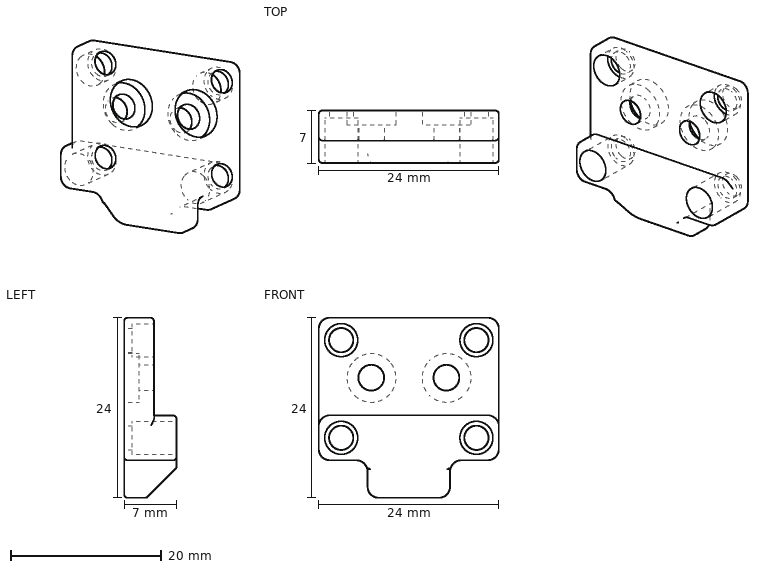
import cadquery as cq

width = 24.0
height = 24.0
plate_thickness = 4.0
block_thickness = 7.0

body_bottom = 5.0
step_top = 11.0
tab_width = 11.0
bevel = 4.0

corner_radius = 1.5
edge_radius = 0.5

corner_hole_diameter = 3.2
counterbore_diameter = 4.4
corner_hole_inset = 3.0
counterbore_floor = 1.0

middle_hole_diameter = 3.4
middle_hole_spacing = 10.0
middle_hole_height = 16.0
back_recess_diameter = 6.5
back_recess_depth = 1.93


def front_workplane():
    """XZ plane whose extrusions grow toward the front (-Y)."""
    return cq.Workplane("XZ")


def make_plate():
    """Thin upright plate, rounded on every edge."""
    plate_height = height - body_bottom
    plate = (
        front_workplane()
        .center(0, body_bottom + plate_height / 2)
        .rect(width, plate_height)
        .extrude(plate_thickness)
    )
    plate = plate.edges("|Y").fillet(corner_radius)
    return plate.faces("<Y or >Y").edges().fillet(edge_radius)


def make_block():
    """Thick lower block with a narrow bevelled tab hanging below it."""
    half_width = width / 2
    half_tab = tab_width / 2
    block = (
        front_workplane()
        .moveTo(-half_width, step_top)
        .lineTo(half_width, step_top)
        .lineTo(half_width, body_bottom)
        .lineTo(half_tab, body_bottom)
        .lineTo(half_tab, 0)
        .lineTo(-half_tab, 0)
        .lineTo(-half_tab, body_bottom)
        .lineTo(-half_width, body_bottom)
        .close()
        .extrude(block_thickness)
    )
    block = block.edges("|Y").fillet(corner_radius)
    bevel_wedge = (
        cq.Workplane("YZ")
        .moveTo(-block_thickness, bevel)
        .lineTo(-block_thickness, 0)
        .lineTo(bevel - block_thickness, 0)
        .close()
        .extrude(tab_width, both=True)
    )
    block = block.cut(bevel_wedge)
    rims = block.faces("<Y or >Y").edges()
    bevel_direction = cq.Vector(0, -1, -1)
    bevel_face = block.faces(cq.selectors.DirectionMinMaxSelector(bevel_direction, True))
    rims = rims.add(bevel_face.edges())
    return rims.fillet(edge_radius)


def cut_through_holes(body, points, diameter):
    """Cut round holes along Y through the full depth of the body."""
    drills = front_workplane().pushPoints(points).circle(diameter / 2).extrude(block_thickness)
    return body.cut(drills)


def cut_corner_holes(body):
    """Cut the four corner holes, counterbored from the front."""
    hole_x = width / 2 - corner_hole_inset
    hole_heights = (body_bottom + corner_hole_inset, height - corner_hole_inset)
    points = [(x, z) for x in (-hole_x, hole_x) for z in hole_heights]
    body = cut_through_holes(body, points, corner_hole_diameter)
    counterbores = (
        front_workplane()
        .workplane(offset=counterbore_floor)
        .pushPoints(points)
        .circle(counterbore_diameter / 2)
        .extrude(block_thickness - counterbore_floor)
    )
    return body.cut(counterbores)


def cut_middle_holes(body):
    """Cut the middle pair of holes, counterbored from the back."""
    hole_x = middle_hole_spacing / 2
    points = [(x, middle_hole_height) for x in (-hole_x, hole_x)]
    body = cut_through_holes(body, points, middle_hole_diameter)
    recesses = (
        front_workplane()
        .pushPoints(points)
        .circle(back_recess_diameter / 2)
        .extrude(back_recess_depth)
    )
    return body.cut(recesses)


result = make_plate().union(make_block())
result = cut_corner_holes(result)
result = cut_middle_holes(result)